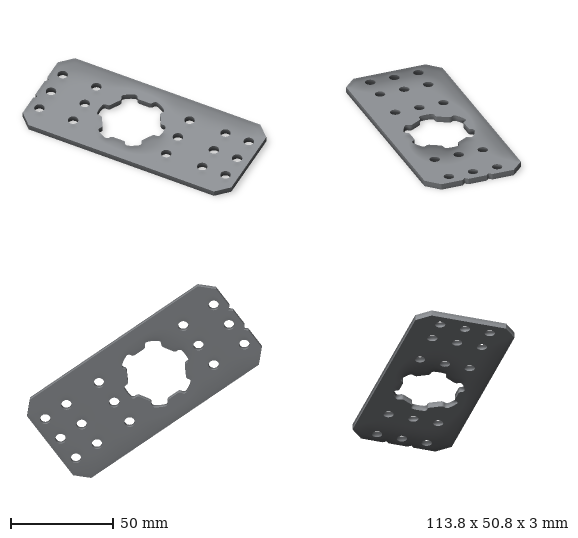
import cadquery as cq
import math

PITCH = 12.7
LENGTH = 113.79
WIDTH = 4 * PITCH
THICKNESS = 3.0
CORNER_CHAMFER = PITCH / 2

HOLE_DIAMETER = 5.1
NEAR_COLUMN_X = 2 * PITCH
OUTER_COLUMN_GAP = 19.62
LEFT_COLUMN_GAP = 18.4
END_MARGIN = PITCH / 2

NOTCH_DEPTH = 1.5

LOBE_COUNT = 6
HEXAGON_ACROSS_FLATS = 28.45
LOBE_TIP_RADIUS = 17.45
LOBE_WIDTH = 7.95
LOBE_TIP_FILLET = 1.5
LOBE_ROOT_FILLET = 1.5

RIGHT_COLUMN_X = NEAR_COLUMN_X + OUTER_COLUMN_GAP + PITCH
RIGHT_END_X = RIGHT_COLUMN_X + END_MARGIN
LEFT_END_X = RIGHT_END_X - LENGTH
COLUMNS_X = (
    -NEAR_COLUMN_X - LEFT_COLUMN_GAP,
    -NEAR_COLUMN_X,
    NEAR_COLUMN_X,
    NEAR_COLUMN_X + OUTER_COLUMN_GAP,
    RIGHT_COLUMN_X,
)
ROWS_Y = (-PITCH, 0, PITCH)
NOTCHES_Y = (-PITCH / 2, PITCH / 2)


def make_blank():
    """Rectangular plate with four chamfered corners."""
    blank = cq.Workplane("XY").box(LENGTH, WIDTH, THICKNESS, centered=(False, True, False))
    blank = blank.translate((LEFT_END_X, 0, 0))
    return blank.edges("|Z").chamfer(CORNER_CHAMFER)


def make_hole_cutter():
    """Through holes on every row of every column."""
    centres = [(x, y) for x in COLUMNS_X for y in ROWS_Y]
    return cq.Workplane("XY").pushPoints(centres).circle(HOLE_DIAMETER / 2).extrude(THICKNESS)


def make_notch_cutter(y):
    """Right-angled V notch entering from the left end."""
    outline = [
        (LEFT_END_X, y - NOTCH_DEPTH),
        (LEFT_END_X + NOTCH_DEPTH, y),
        (LEFT_END_X, y + NOTCH_DEPTH),
    ]
    return cq.Workplane("XY").polyline(outline).close().extrude(THICKNESS)


def make_opening_cutter():
    """Six-lobed star with rounded lobe tips and roots."""
    hexagon_diameter = HEXAGON_ACROSS_FLATS / math.cos(math.pi / LOBE_COUNT)
    star = cq.Workplane("XY").polygon(LOBE_COUNT, hexagon_diameter).extrude(THICKNESS)
    bar_length = 3 * LOBE_TIP_RADIUS
    for index in range(LOBE_COUNT // 2):
        bar = cq.Workplane("XY").rect(bar_length, LOBE_WIDTH).extrude(THICKNESS)
        star = star.union(bar.rotate((0, 0, 0), (0, 0, 1), index * 360 / LOBE_COUNT))
    tip_circle = cq.Workplane("XY").circle(LOBE_TIP_RADIUS).extrude(THICKNESS)
    star = star.intersect(tip_circle)

    def distance_from_centre(edge):
        return math.hypot(edge.Center().x, edge.Center().y)

    root_limit = (LOBE_TIP_RADIUS + HEXAGON_ACROSS_FLATS / 2) / 2
    corners = star.edges("|Z")
    tips = corners.filter(lambda edge: distance_from_centre(edge) > root_limit)
    star = tips.fillet(LOBE_TIP_FILLET)
    corners = star.edges("|Z")
    roots = corners.filter(lambda edge: distance_from_centre(edge) < root_limit)
    return roots.fillet(LOBE_ROOT_FILLET)


result = make_blank().cut(make_hole_cutter()).cut(make_opening_cutter())
for notch_y in NOTCHES_Y:
    result = result.cut(make_notch_cutter(notch_y))